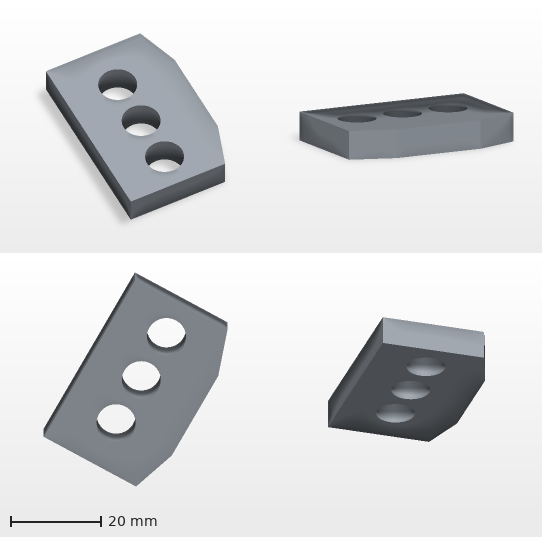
import cadquery as cq

length = 41.4
width = 26.9
thickness = 6.5

corner_run = 10.15
corner_drop = 3.4

hole_diameter = 8.65
hole_pitch = 11.43
hole_count = 3
middle_hole_x = 22.05
hole_row_y = 12.45


def make_plate():
    """Plate with its front left bottom corner at the origin."""
    outline = [
        (0, 0),
        (length, 0),
        (length, width - corner_drop),
        (length - corner_run, width),
        (corner_run, width),
        (0, width - corner_drop),
    ]
    return cq.Workplane("XY").polyline(outline).close().extrude(thickness)


def make_hole_cutters():
    """Row of cylinders running through the full thickness."""
    first_hole_x = middle_hole_x - hole_pitch * (hole_count - 1) / 2
    centers = [(first_hole_x + i * hole_pitch, hole_row_y) for i in range(hole_count)]
    return cq.Workplane("XY").pushPoints(centers).circle(hole_diameter / 2).extrude(thickness)


result = make_plate().cut(make_hole_cutters())